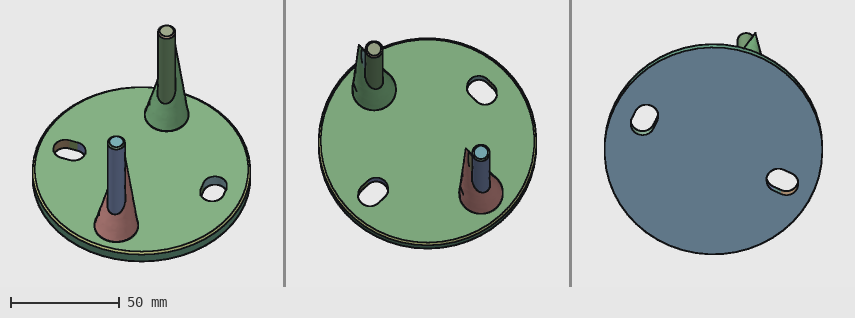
import cadquery as cq

plate_diameter = 100.0
plate_thickness = 6.0
plate_chamfer = 1.0

feature_radius = 35.0
post_y_positions = (feature_radius, -feature_radius)

slot_width = 11.0
slot_length = 15.0
left_slot_angle = 0
right_slot_angle = 90

pocket_diameter = 20.2
pocket_depth = 0.4
pocket_floor = plate_thickness - pocket_depth

outer_cone_diameter = 20.0
inner_cone_diameter = 16.0
horn_top = 50.0
horn_height = horn_top - pocket_floor

rod_diameter = 8.0
rod_hole_diameter = 8.5
rod_length = 60.0
rod_chamfer = 0.8


def slot_cutter(x, angle):
    """Slot-shaped prism through the plate, centred on the X axis."""
    return cq.Workplane("XY").center(x, 0).slot2D(slot_length, slot_width, angle).extrude(plate_thickness)


def make_plate():
    """Round plate with a chamfered upper edge, two slots and two horn pockets."""
    plate = cq.Workplane("XY").circle(plate_diameter / 2).extrude(plate_thickness)
    plate = plate.faces(">Z").edges().chamfer(plate_chamfer)
    plate = plate.cut(slot_cutter(-feature_radius, left_slot_angle))
    plate = plate.cut(slot_cutter(feature_radius, right_slot_angle))
    pockets = (
        cq.Workplane("XY", origin=(0, 0, pocket_floor))
        .pushPoints([(0, y) for y in post_y_positions])
        .circle(pocket_diameter / 2)
        .extrude(pocket_depth)
    )
    return plate.cut(pockets).solids()


def leaning_cone(base_diameter):
    """Cone with its base centred on the origin and its tip straight above the base's +Y edge."""
    base_radius = base_diameter / 2
    lean = base_radius / horn_height
    shear_towards_y = cq.Matrix([[1, 0, 0, 0], [0, 1, lean, 0], [0, 0, 1, 0]])
    upright = cq.Solid.makeCone(base_radius, 0, horn_height)
    return cq.Workplane(obj=upright.transformGeometry(shear_towards_y))


def make_horn(y):
    """Two leaning cones joined into one twin-tipped horn, bored for its rod."""
    horn = leaning_cone(outer_cone_diameter).union(leaning_cone(inner_cone_diameter))
    rod_hole = cq.Workplane("XY").circle(rod_hole_diameter / 2).extrude(horn_height)
    return horn.cut(rod_hole).translate((0, y, pocket_floor)).solids()


def make_rod(y):
    """Upright rod with a chamfered top."""
    rod = cq.Workplane("XY", origin=(0, y, pocket_floor)).circle(rod_diameter / 2).extrude(rod_length)
    return rod.faces(">Z").edges().chamfer(rod_chamfer).solids()


plate = make_plate()
horns = [make_horn(y) for y in post_y_positions]
rods = [make_rod(y) for y in post_y_positions]

result = cq.Compound.makeCompound(
    [plate.val(), *[horn.val() for horn in horns], *[rod.val() for rod in rods]]
)